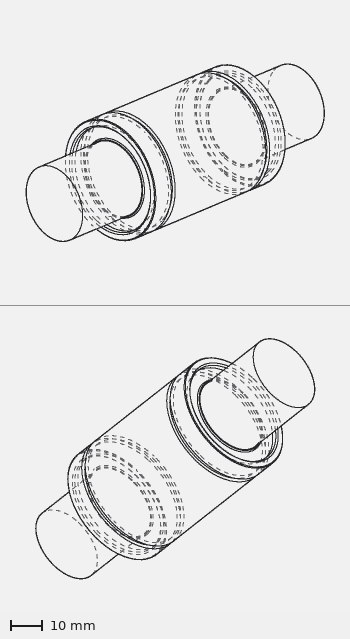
import cadquery as cq

shaft_length = 108.0
shaft_diameter = 25.0

sleeve_length = 58.3
sleeve_diameter = 40.0
sleeve_chamfer = 0.27

groove_diameter = 37.5
groove_width = 1.7
groove_span = 44.0

recess_diameter = 34.8
recess_depth = 2.0
recess_chamfer = 0.5

lip_base_diameter = 26.4
lip_tip_diameter = 25.6
lip_height = 0.4

shaft_radius = shaft_diameter / 2
sleeve_radius = sleeve_diameter / 2
groove_radius = groove_diameter / 2
recess_radius = recess_diameter / 2
lip_base_radius = lip_base_diameter / 2
lip_tip_radius = lip_tip_diameter / 2

shaft_end = shaft_length / 2
sleeve_end = sleeve_length / 2
groove_outer_wall = groove_span / 2
groove_inner_wall = groove_outer_wall - groove_width
recess_floor = sleeve_end - recess_depth
lip_face = recess_floor + lip_height

end_profile = [
    (0, shaft_end),
    (shaft_radius, shaft_end),
    (shaft_radius, lip_face),
    (lip_tip_radius, lip_face),
    (lip_base_radius, recess_floor),
    (recess_radius, recess_floor),
    (recess_radius, sleeve_end - recess_chamfer),
    (recess_radius + recess_chamfer, sleeve_end),
    (sleeve_radius - sleeve_chamfer, sleeve_end),
    (sleeve_radius, sleeve_end - sleeve_chamfer),
    (sleeve_radius, groove_outer_wall),
    (groove_radius, groove_outer_wall),
    (groove_radius, groove_inner_wall),
    (sleeve_radius, groove_inner_wall),
]

mirrored_profile = [(radius, -y) for radius, y in reversed(end_profile)]

half_section = cq.Workplane("XY").polyline(end_profile + mirrored_profile).close()
result = half_section.revolve(360, (0, 0, 0), (0, 1, 0))